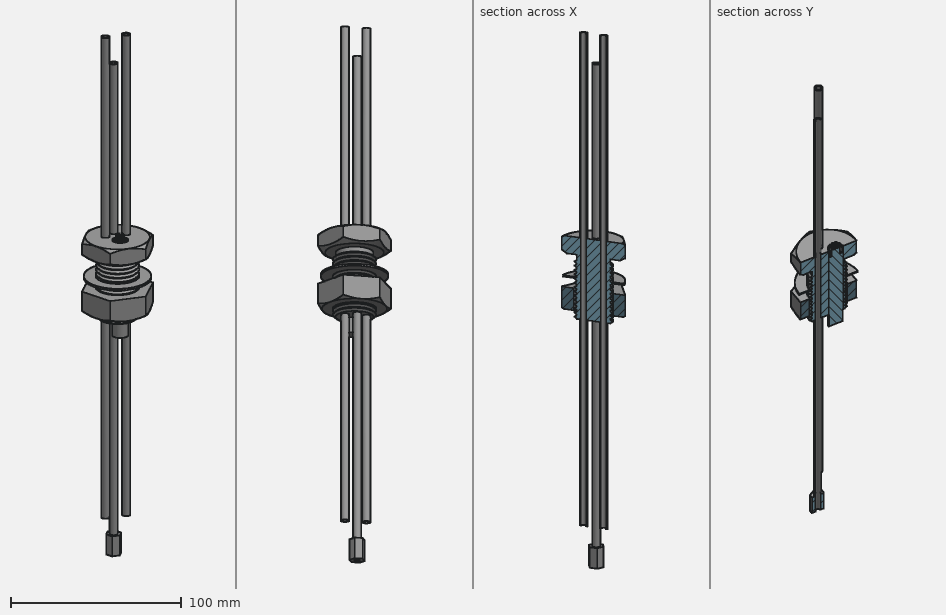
import cadquery as cq
import math


HEX_SIDES = 6
HEX_ACROSS_FLATS = 38.1
CHAMFER_ANGLE = 30.0

HEAD_HEIGHT = 11.1
HEAD_TOP_FACE_DIAMETER = 37.8
HEAD_UNDERSIDE_DIAMETER = 34.5
SHANK_END_Z = -50.8
NECK_DIAMETER = 22.23
THREAD_CREST_DIAMETER = 25.4
THREAD_PITCH = 2.63
THREAD_RIDGES = 14

TUBE_DIAMETER = 4.95
TUBE_BORE = 3.17
TUBE_TOP_Z = 126.6
LONG_TUBE_LENGTH = 304.8
LONG_TUBE_X = -3.1
LONG_TUBE_Y = 6.4
CENTRE_TUBE_X = -7.1
CENTRE_TUBE_DROP = 19.05
OVERALL_LENGTH = 330.18
TIP_ACROSS_FLATS = 8.13
TIP_LENGTH = 12.7

WASHER_DIAMETER = 39.62
WASHER_THICKNESS = 1.2
WASHER_TOP_Z = -24.6
NUT_TOP_Z = -31.75
NUT_HEIGHT = 14.0
NUT_BOTTOM_FACE_DIAMETER = 38.1

CONNECTOR_X = 4.95
CONNECTOR_HOLE_DIAMETER = 9.53
CONNECTOR_DIAMETER = 9.51
CONNECTOR_BOTTOM_Z = -60.2
SOCKET_MOUTH_DIAMETER = 8.5
SOCKET_MOUTH_DEPTH = 1.0
SOCKET_DIAMETER = 8.13
SOCKET_DEPTH = 5.0
CORE_DIAMETER = 5.56
PIN_DIAMETER = 0.96
PIN_TOP_Z = 3.2
PIN_BUNDLE_DIAMETER = 5.08
PIN_CIRCLE_DIAMETER = PIN_BUNDLE_DIAMETER - PIN_DIAMETER
PINS_ON_CIRCLE = 6


def cylinder(diameter, bottom_z, top_z, x=0.0, y=0.0):
    base = cq.Workplane("XY", origin=(x, y, bottom_z))
    return base.circle(diameter / 2).extrude(top_z - bottom_z)


def hexagon(across_flats, bottom_z, top_z, x=0.0):
    """Hex prism with flats facing -X and +X and corners on the Y direction."""
    corner_diameter = across_flats / math.cos(math.pi / HEX_SIDES)
    base = cq.Workplane("XY", origin=(x, 0, bottom_z)).transformed(rotate=(0, 0, 90))
    return base.polygon(HEX_SIDES, corner_diameter).extrude(top_z - bottom_z)


def chamfer_corners(hex_body, face_diameter, face_z, far_z):
    """Cone off the hex corners so that the face at face_z ends in a round edge."""
    slope = math.tan(math.radians(CHAMFER_ANGLE))
    face_radius = face_diameter / 2
    far_radius = face_radius + abs(far_z - face_z) / slope
    profile = [(0, face_z), (face_radius, face_z), (far_radius, far_z), (0, far_z)]
    envelope = cq.Workplane("XZ").polyline(profile).close().revolve(360, (0, 0, 0), (0, 1, 0))
    return hex_body.intersect(envelope)


def threaded_shank():
    """Plain neck above ring-shaped V ridges that are cut down to the neck diameter."""
    root_radius = NECK_DIAMETER / 2
    crest_radius = THREAD_CREST_DIAMETER / 2
    thread_top_z = SHANK_END_Z + THREAD_RIDGES * THREAD_PITCH
    profile = [(0, -HEAD_HEIGHT), (root_radius, -HEAD_HEIGHT)]
    for ridge in range(THREAD_RIDGES):
        ridge_top_z = thread_top_z - ridge * THREAD_PITCH
        profile.append((root_radius, ridge_top_z))
        profile.append((crest_radius, ridge_top_z - THREAD_PITCH / 2))
    profile.append((root_radius, SHANK_END_Z))
    profile.append((0, SHANK_END_Z))
    return cq.Workplane("XZ").polyline(profile).close().revolve(360, (0, 0, 0), (0, 1, 0))


def make_fitting():
    head = hexagon(HEX_ACROSS_FLATS, -HEAD_HEIGHT, 0)
    head = chamfer_corners(head, HEAD_TOP_FACE_DIAMETER, 0, -HEAD_HEIGHT)
    head = chamfer_corners(head, HEAD_UNDERSIDE_DIAMETER, -HEAD_HEIGHT, 0)
    fitting = head.union(threaded_shank())

    long_bottom_z = TUBE_TOP_Z - LONG_TUBE_LENGTH
    centre_top_z = TUBE_TOP_Z - CENTRE_TUBE_DROP
    centre_bottom_z = TUBE_TOP_Z - OVERALL_LENGTH
    tubes = [
        (LONG_TUBE_X, LONG_TUBE_Y, long_bottom_z, TUBE_TOP_Z),
        (LONG_TUBE_X, -LONG_TUBE_Y, long_bottom_z, TUBE_TOP_Z),
        (CENTRE_TUBE_X, 0, centre_bottom_z, centre_top_z),
    ]
    for x, y, bottom_z, top_z in tubes:
        fitting = fitting.union(cylinder(TUBE_DIAMETER, bottom_z, top_z, x, y))
    tip = hexagon(TIP_ACROSS_FLATS, centre_bottom_z, centre_bottom_z + TIP_LENGTH, CENTRE_TUBE_X)
    fitting = fitting.union(tip)
    for x, y, bottom_z, top_z in tubes:
        fitting = fitting.cut(cylinder(TUBE_BORE, bottom_z, top_z, x, y))
    return fitting.cut(cylinder(CONNECTOR_HOLE_DIAMETER, SHANK_END_Z, 0, CONNECTOR_X))


def make_washer():
    bottom_z = WASHER_TOP_Z - WASHER_THICKNESS
    washer = cylinder(WASHER_DIAMETER, bottom_z, WASHER_TOP_Z)
    return washer.cut(cylinder(THREAD_CREST_DIAMETER, bottom_z, WASHER_TOP_Z))


def make_nut():
    bottom_z = NUT_TOP_Z - NUT_HEIGHT
    nut = hexagon(HEX_ACROSS_FLATS, bottom_z, NUT_TOP_Z)
    nut = chamfer_corners(nut, NUT_BOTTOM_FACE_DIAMETER, bottom_z, NUT_TOP_Z)
    return nut.cut(cylinder(THREAD_CREST_DIAMETER, bottom_z, NUT_TOP_Z))


def make_connector():
    """Plug flush with the head, with a stepped ring socket around a core that carries the pins."""
    socket_floor_z = -SOCKET_DEPTH
    connector = cylinder(CONNECTOR_DIAMETER, CONNECTOR_BOTTOM_Z, 0, CONNECTOR_X)
    connector = connector.cut(cylinder(SOCKET_MOUTH_DIAMETER, -SOCKET_MOUTH_DEPTH, 0, CONNECTOR_X))
    connector = connector.cut(cylinder(SOCKET_DIAMETER, socket_floor_z, 0, CONNECTOR_X))
    connector = connector.union(cylinder(CORE_DIAMETER, socket_floor_z, 0, CONNECTOR_X))
    pins = (
        cq.Workplane("XY", origin=(CONNECTOR_X, 0, socket_floor_z))
        .polarArray(PIN_CIRCLE_DIAMETER / 2, 0, 360, PINS_ON_CIRCLE)
        .circle(PIN_DIAMETER / 2)
        .extrude(PIN_TOP_Z - socket_floor_z)
    )
    centre_pin = cylinder(PIN_DIAMETER, socket_floor_z, PIN_TOP_Z, CONNECTOR_X)
    return connector.union(pins).union(centre_pin)


fitting = make_fitting()
washer = make_washer()
nut = make_nut()
connector = make_connector()

result = cq.Compound.makeCompound([fitting.val(), washer.val(), nut.val(), connector.val()])